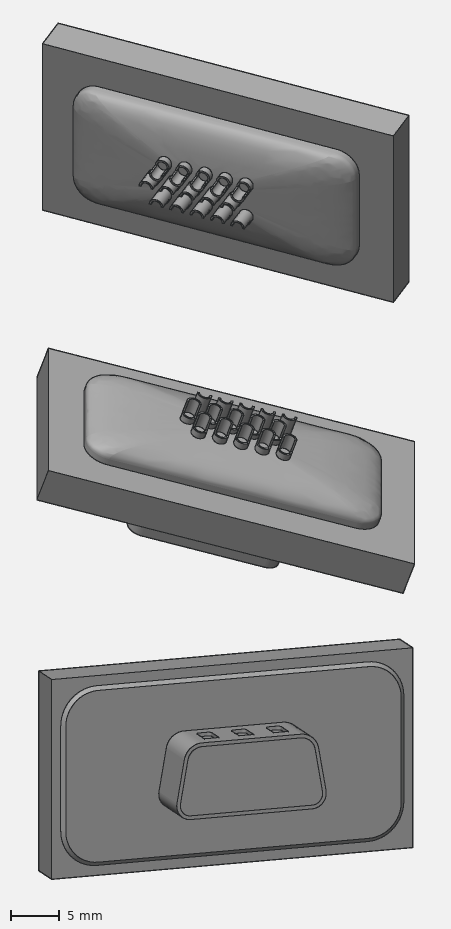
import cadquery as cq
import math


PANEL_WIDTH = 39.4
PANEL_HEIGHT = 21.1
PANEL_THICKNESS = 3.95

FLANGE_WIDTH = 37.43
FLANGE_HEIGHT = 19.0
FLANGE_THICKNESS = 0.35
FLANGE_CORNER_RADIUS = 3.95
FLANGE_BEVEL_ANGLE = 50.0

COLLAR_WIDTH = 16.3
COLLAR_HEIGHT = 8.0
COLLAR_REACH = 5.75
COLLAR_TOP_RADIUS = 1.97
COLLAR_BOTTOM_RADIUS = 1.55
COLLAR_SIDE_ANGLE = math.radians(10.0)
COLLAR_WALL = 0.4

WINDOW_COUNT = 3
WINDOW_PITCH = 3.8
WINDOW_WIDTH = 1.6
WINDOW_LENGTH = 2.52
WINDOW_CORNER_RADIUS = 0.4
WINDOW_SETBACK = 1.55

COVER_WIDTH = 31.75
COVER_HEIGHT = 13.95
COVER_CORNER_RADIUS = 2.52
COVER_RIM = 0.7
DOME_RISE = 2.55
DOME_FULLNESS = 0.85
DOME_SECTIONS = 10

PIN_DIAMETER = 1.55
CUP_BORE = 1.15
PIN_PITCH = 2.3
ROW_PITCH = 1.97
PINS_PER_ROW = 5
PIN_REACH = 5.3
CUP_SHELF = 3.8
CUP_FLOOR = 3.55

COLLAR_MOUTH = PANEL_THICKNESS + COLLAR_REACH


def facing_front(y):
    """Workplane at depth y whose extrusions go towards the front (-Y)."""
    return cq.Workplane("XZ", origin=(0, y, 0))


def d_outline(y, inset=0.0):
    """D-shaped outline at depth y, moved inwards by inset."""
    tilt = COLLAR_SIDE_ANGLE
    half_height = COLLAR_HEIGHT / 2
    bottom_x = COLLAR_WIDTH / 2 - COLLAR_BOTTOM_RADIUS
    bottom_z = COLLAR_BOTTOM_RADIUS - half_height
    top_z = half_height - COLLAR_TOP_RADIUS
    top_x = (
        bottom_x
        + (bottom_z - top_z) * math.tan(tilt)
        + (COLLAR_BOTTOM_RADIUS - COLLAR_TOP_RADIUS) / math.cos(tilt)
    )
    top_radius = COLLAR_TOP_RADIUS - inset
    bottom_radius = COLLAR_BOTTOM_RADIUS - inset

    def top_corner(angle):
        return (top_x + top_radius * math.cos(angle), top_z + top_radius * math.sin(angle))

    def bottom_corner(angle):
        return (bottom_x + bottom_radius * math.cos(angle), bottom_z + bottom_radius * math.sin(angle))

    def mirrored(point):
        return (-point[0], point[1])

    up = math.pi / 2
    top_middle = (up + tilt) / 2
    bottom_middle = (tilt - up) / 2
    return (
        facing_front(y)
        .moveTo(*mirrored(top_corner(up)))
        .lineTo(*top_corner(up))
        .threePointArc(top_corner(top_middle), top_corner(tilt))
        .lineTo(*bottom_corner(tilt))
        .threePointArc(bottom_corner(bottom_middle), bottom_corner(-up))
        .lineTo(*mirrored(bottom_corner(-up)))
        .threePointArc(mirrored(bottom_corner(bottom_middle)), mirrored(bottom_corner(tilt)))
        .lineTo(*mirrored(top_corner(tilt)))
        .threePointArc(mirrored(top_corner(top_middle)), mirrored(top_corner(up)))
        .close()
    )


def rounded_rectangle(width, height, radius):
    return cq.Sketch().rect(width, height).vertices().fillet(radius).reset()


def pin_places():
    """(x, z, cut_side) of every pin; cut_side is +1 where the upper half of the cup is cut away."""
    places = []
    for row, shift, cut_side in ((1, 0.0, 1), (0, -PIN_PITCH / 2, -1), (-1, 0.0, -1)):
        for column in range(PINS_PER_ROW):
            x = (column - (PINS_PER_ROW - 1) / 2) * PIN_PITCH + shift
            places.append((x, row * ROW_PITCH, cut_side))
    return places


def make_panel():
    blank = facing_front(PANEL_THICKNESS).rect(PANEL_WIDTH, PANEL_HEIGHT).extrude(PANEL_THICKNESS)
    return blank.cut(d_outline(PANEL_THICKNESS, COLLAR_WALL).extrude(PANEL_THICKNESS))


def make_window_cutter(x):
    square_end = COLLAR_MOUTH - WINDOW_SETBACK
    return (
        cq.Workplane("XY", origin=(x, square_end - WINDOW_LENGTH / 2, 0))
        .rect(WINDOW_WIDTH, WINDOW_LENGTH)
        .extrude(COLLAR_HEIGHT)
        .edges("|Z and <Y")
        .fillet(WINDOW_CORNER_RADIUS)
    )


def make_shell():
    outline = rounded_rectangle(FLANGE_WIDTH, FLANGE_HEIGHT, FLANGE_CORNER_RADIUS)
    flange = facing_front(PANEL_THICKNESS).placeSketch(outline).extrude(
        -FLANGE_THICKNESS, taper=FLANGE_BEVEL_ANGLE)
    shell = flange.union(d_outline(COLLAR_MOUTH).extrude(COLLAR_REACH))
    shell = shell.cut(d_outline(COLLAR_MOUTH, COLLAR_WALL).extrude(COLLAR_REACH))
    for index in range(WINDOW_COUNT):
        x = (index - (WINDOW_COUNT - 1) / 2) * WINDOW_PITCH
        shell = shell.cut(make_window_cutter(x))
    return shell


def dome_section(step):
    """Face of the cover outline, shrunk towards the apex along a cubic Bezier profile."""
    t = step / DOME_SECTIONS
    near_rim = 3 * t * (1 - t) ** 2
    near_apex = 3 * t**2 * (1 - t)
    spread = (1 - t) ** 3 + near_rim + (1 - DOME_FULLNESS) * near_apex
    rise = DOME_FULLNESS * near_rim + near_apex + t**3
    outline = rounded_rectangle(
        spread * COVER_WIDTH, spread * COVER_HEIGHT, spread * COVER_CORNER_RADIUS
    )
    place = facing_front(-COVER_RIM - rise * DOME_RISE).plane.location
    return outline.faces().val().moved(place)


def make_cover():
    outline = rounded_rectangle(COVER_WIDTH, COVER_HEIGHT, COVER_CORNER_RADIUS)
    rim = facing_front(0).placeSketch(outline).extrude(COVER_RIM)
    apex = cq.Vertex.makeVertex(0, -COVER_RIM - DOME_RISE, 0)
    sections = [dome_section(step) for step in range(DOME_SECTIONS)]
    cover = rim.union(cq.Workplane(cq.occ_impl.shapes.loft(*sections, apex)))
    for x, z, _ in pin_places():
        cover = cover.cut(facing_front(0).center(x, z).circle(PIN_DIAMETER / 2).extrude(PIN_REACH))
    return cover


def make_solder_pin(x, z, cut_side):
    """Pin ending in a cup that has its upper or lower half cut away."""
    pin = facing_front(0).center(x, z).circle(PIN_DIAMETER / 2).extrude(PIN_REACH)
    bore = facing_front(-CUP_FLOOR).center(x, z).circle(CUP_BORE / 2).extrude(PIN_REACH - CUP_FLOOR)
    half_cut = (
        facing_front(-CUP_SHELF)
        .center(x, z + cut_side * PIN_DIAMETER / 2)
        .rect(2 * PIN_DIAMETER, PIN_DIAMETER)
        .extrude(PIN_REACH - CUP_SHELF)
    )
    return pin.cut(bore).cut(half_cut)


def make_insert():
    insert = d_outline(COLLAR_MOUTH, COLLAR_WALL).extrude(COLLAR_MOUTH)
    for x, z, cut_side in pin_places():
        insert = insert.union(make_solder_pin(x, z, cut_side))
    return insert


panel = make_panel()
shell = make_shell()
cover = make_cover()
insert = make_insert()

bodies = (panel, shell, cover, insert)
result = cq.Compound.makeCompound([body.solids().val() for body in bodies])